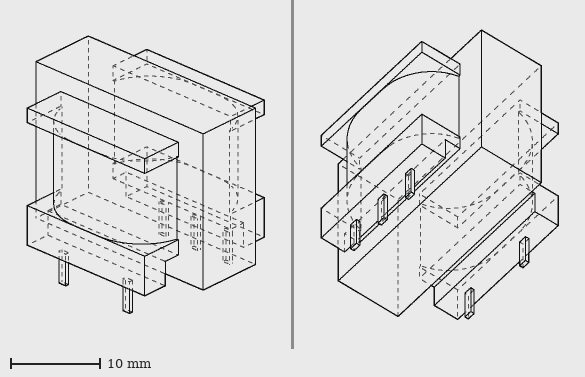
import cadquery as cq

core_width = 25.65
core_depth = 8.57
core_height = 19.7

bobbin_width = 18.01
bobbin_depth = 19.55
base_height = 5.0
foot_depth = 3.35
foot_height = 3.08
flange_thickness = 1.85
flange_drop = 2.4
flange_bottom = core_height - flange_drop - flange_thickness

coil_width = 17.9
coil_inset = 0.038
coil_depth = bobbin_depth - 2 * coil_inset
coil_flat_width = 3.95
coil_corner_radius = (coil_width - coil_flat_width) / 2

pin_width = 1.05
pin_thickness = 0.5
pin_length = 4.0
pin_pitch = 4.9
pin_row_offset = 8.19
front_pin_positions = (-pin_pitch, pin_pitch)
back_pin_positions = (-pin_pitch, 0, pin_pitch)


def block(width, depth, height, bottom):
    """Box centred on the Z axis, standing on the given level."""
    return (
        cq.Workplane("XY")
        .workplane(offset=bottom)
        .rect(width, depth)
        .extrude(height)
    )


def make_base():
    """Base with a foot along its front and back, and an open channel between."""
    base = block(bobbin_width, bobbin_depth, base_height, 0)
    channel = block(bobbin_width, bobbin_depth - 2 * foot_depth, foot_height, 0)
    return base.cut(channel)


def make_coil():
    """Winding with large rounded vertical corners."""
    coil = block(coil_width, coil_depth, flange_bottom - base_height, base_height)
    return coil.edges("|Z").fillet(coil_corner_radius)


def make_pin_row(x_positions, y):
    """Flat pins hanging from the underside of a foot."""
    return (
        cq.Workplane("XY")
        .pushPoints([(x, y) for x in x_positions])
        .rect(pin_width, pin_thickness)
        .extrude(-pin_length)
    )


core = block(core_width, core_depth, core_height, 0)
flange = block(bobbin_width, bobbin_depth, flange_thickness, flange_bottom)

result = (
    core.union(make_base())
    .union(make_coil())
    .union(flange)
    .union(make_pin_row(front_pin_positions, -pin_row_offset))
    .union(make_pin_row(back_pin_positions, pin_row_offset))
)